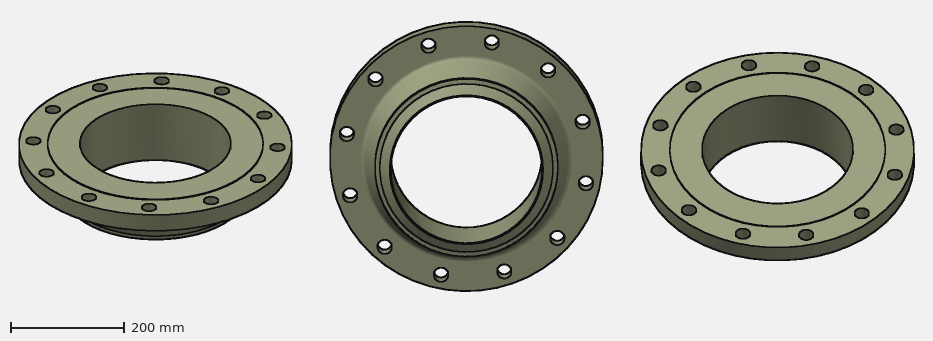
import cadquery as cq
import math

flange_diameter = 482.5
raised_face_diameter = 381.0
raised_face_height = 1.5
flange_thickness = 33.0
overall_height = 116.0

bolt_count = 12
bolt_circle_diameter = 432.0
bolt_hole_diameter = 25.5

bore_diameter = 267.0
hub_neck_radius = 161.5
hub_cone_base_z = 22.0
hub_cone_angle = 18.7
hub_fillet_radius = 7.5

bevel_root_radius = 135.5
bevel_break_radius = 153.0
inner_bevel_angle = 37.5
outer_bevel_angle = 10.0

flange_top_z = overall_height - raised_face_height
flange_bottom_z = flange_top_z - flange_thickness
bevel_break_z = (bevel_break_radius - bevel_root_radius) * math.tan(math.radians(inner_bevel_angle))
bevel_top_z = bevel_break_z + (hub_neck_radius - bevel_break_radius) * math.tan(
    math.radians(outer_bevel_angle)
)

hub_cone_slope = math.tan(math.radians(hub_cone_angle))
hub_top_radius = hub_neck_radius + (flange_bottom_z - hub_cone_base_z) * hub_cone_slope


def revolved_body():
    """Weld-neck flange with its bore, revolved about Z from a half section."""
    bore_radius = bore_diameter / 2
    flange_radius = flange_diameter / 2
    raised_face_radius = raised_face_diameter / 2
    section = [
        (bore_radius, 0),
        (bevel_root_radius, 0),
        (bevel_break_radius, bevel_break_z),
        (hub_neck_radius, bevel_top_z),
        (hub_neck_radius, hub_cone_base_z),
        (hub_top_radius, flange_bottom_z),
        (flange_radius, flange_bottom_z),
        (flange_radius, flange_top_z),
        (raised_face_radius, flange_top_z),
        (raised_face_radius, overall_height),
        (bore_radius, overall_height),
    ]
    return cq.Workplane("XZ").polyline(section).close().revolve(360, (0, 0), (0, 1))


def fillet_hub(body):
    """Round the inside corner where the hub meets the flange underside."""
    margin = hub_fillet_radius / 2
    corner_box = cq.selectors.BoxSelector(
        (-hub_top_radius - margin, -hub_top_radius - margin, flange_bottom_z - margin),
        (hub_top_radius + margin, hub_top_radius + margin, flange_bottom_z + margin),
        boundingbox=True,
    )
    return body.edges(corner_box).fillet(hub_fillet_radius)


def bolt_holes():
    """Through-hole cutters spaced evenly on the bolt circle, starting on +X."""
    return (
        cq.Workplane("XY")
        .workplane(offset=flange_bottom_z)
        .polarArray(bolt_circle_diameter / 2, 0, 360, bolt_count)
        .circle(bolt_hole_diameter / 2)
        .extrude(flange_thickness)
    )


result = fillet_hub(revolved_body()).cut(bolt_holes())